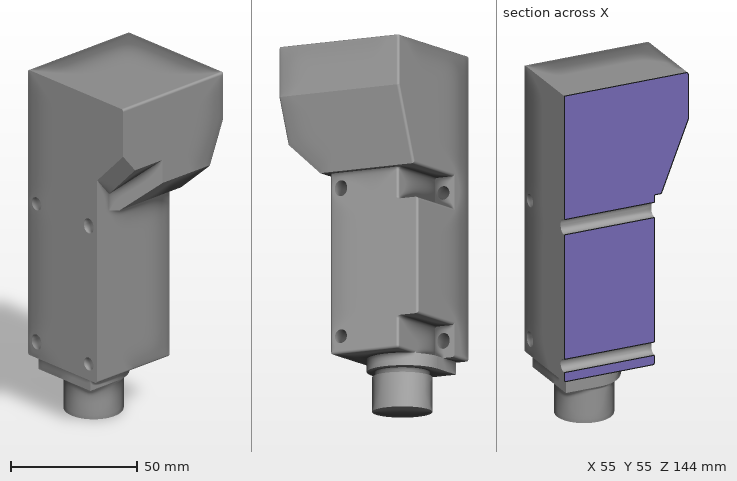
import cadquery as cq

import math

HEAD_SIZE = 55.0
TOTAL_HEIGHT = 144.0
EDGE_RADIUS = 1.0
TOLERANCE = 0.01

BODY_SIZE = 40.0
BODY_BOTTOM = 21.0

HEAD_BOTTOM = 93.9
HEAD_LIP = 3.0
SLOPE_TOP = 123.7

FRONT_UNDERSIDE = 123.7
MIDDLE_UNDERSIDE = 115.9
REAR_UNDERSIDE = 106.0
BEVEL_DEPTH = 6.5

RECESS_DEPTH = 9.0
FRONT_WALL = 11.1
UPPER_RECESS_BOTTOM = 81.0
LOWER_RECESS_TOP = 34.0

HOLE_DIAMETER = 5.5
SLOT_LENGTH = 6.3
LEFT_HOLE_X = 5.0
RIGHT_HOLE_X = 35.1
UPPER_HOLE_Z = 87.5
LOWER_HOLE_Z = 28.0

COLLAR_RADIUS = 15.0
COLLAR_FRONT = 1.0
COLLAR_BOTTOM = 16.0
COLLAR_X = 20.0
CONNECTOR_X = 21.0
CONNECTOR_Y = COLLAR_FRONT + COLLAR_RADIUS
NECK_RADIUS = 11.0
NECK_BOTTOM = 14.0
BARREL_RADIUS = 12.0


def box(x_range, y_range, z_range):
    """Box spanning the given (start, end) ranges."""
    ranges = (x_range, y_range, z_range)
    sizes = [end - start for start, end in ranges]
    corner = tuple(start for start, end in ranges)
    return cq.Workplane("XY").box(*sizes, centered=False).translate(corner)


def side_profile(width):
    """Body and head outline in the YZ plane, extruded along +X."""
    outline = [
        (0, BODY_BOTTOM),
        (BODY_SIZE, BODY_BOTTOM),
        (BODY_SIZE, HEAD_BOTTOM),
        (BODY_SIZE + HEAD_LIP, HEAD_BOTTOM),
        (HEAD_SIZE, SLOPE_TOP),
        (HEAD_SIZE, TOTAL_HEIGHT),
        (0, TOTAL_HEIGHT),
    ]
    return cq.Workplane("YZ").polyline(outline).close().extrude(width)


def overhang_prism(underside):
    """Part of the head beyond the body in +X, above a 45 degree underside."""
    rise = HEAD_SIZE - BODY_SIZE
    outline = [
        (BODY_SIZE, TOTAL_HEIGHT),
        (BODY_SIZE, underside - rise),
        (HEAD_SIZE, underside),
        (HEAD_SIZE, TOTAL_HEIGHT),
    ]
    return cq.Workplane("XZ").polyline(outline).close().extrude(-HEAD_SIZE)


def make_overhang():
    """Overhang with a bevelled front underside and a deeper rear behind a diagonal upright face."""
    bevel_leg = (FRONT_UNDERSIDE - MIDDLE_UNDERSIDE) / math.sqrt(2)
    front = overhang_prism(MIDDLE_UNDERSIDE)
    edge = front.faces("<Y").edges("|(1,0,1)")
    front = edge.chamfer(BEVEL_DEPTH, bevel_leg)

    reach = HEAD_SIZE - BODY_SIZE
    rear_outline = [
        (BODY_SIZE, BEVEL_DEPTH),
        (HEAD_SIZE, BEVEL_DEPTH + reach),
        (HEAD_SIZE, HEAD_SIZE),
        (BODY_SIZE, HEAD_SIZE),
    ]
    rear_column = (
        cq.Workplane("XY", origin=(0, 0, HEAD_BOTTOM))
        .polyline(rear_outline)
        .close()
        .extrude(TOTAL_HEIGHT - HEAD_BOTTOM)
    )
    rear = overhang_prism(REAR_UNDERSIDE).intersect(rear_column)
    return front.union(rear).intersect(side_profile(HEAD_SIZE))


def cut_recesses(solid):
    """Two recesses in the -X side: below the head and at the foot of the body."""
    for bottom, top in ((UPPER_RECESS_BOTTOM, HEAD_BOTTOM), (BODY_BOTTOM, LOWER_RECESS_TOP)):
        solid = solid.cut(box((0, RECESS_DEPTH), (FRONT_WALL, BODY_SIZE), (bottom, top)))
    return solid


def lies_at(value, *places):
    """True when the coordinate matches one of the places."""
    return any(abs(value - place) < TOLERANCE for place in places)


def is_rounded(edge):
    """True for the outer edges and recess roots that carry a radius; the front face stays sharp."""
    centre = edge.Center()
    along_x = edge.BoundingBox().xlen > TOLERANCE
    if lies_at(centre.y, 0, FRONT_WALL):
        return False
    if along_x:
        on_back = lies_at(centre.y, BODY_SIZE, HEAD_SIZE)
        return on_back and lies_at(centre.z, BODY_BOTTOM, TOTAL_HEIGHT)
    if lies_at(centre.x, 0, RECESS_DEPTH):
        return True
    if lies_at(centre.x, BODY_SIZE):
        return lies_at(centre.z, BODY_BOTTOM) or lies_at(centre.y, BODY_SIZE)
    on_slope = REAR_UNDERSIDE < centre.z and centre.y > BODY_SIZE
    return lies_at(centre.x, HEAD_SIZE) and (on_slope or lies_at(centre.z, TOTAL_HEIGHT))


def round_edges(solid):
    """Round the housing edges and the roots of the recesses."""
    edges = [edge for edge in solid.edges().vals() if is_rounded(edge)]
    return solid.newObject(edges).fillet(EDGE_RADIUS)


def collar_profile(bottom, height):
    """D-shaped collar, square towards -Y and round towards +Y."""
    left = COLLAR_X - COLLAR_RADIUS
    right = COLLAR_X + COLLAR_RADIUS
    return (
        cq.Workplane("XY", origin=(0, 0, bottom))
        .moveTo(left, COLLAR_FRONT)
        .lineTo(right, COLLAR_FRONT)
        .lineTo(right, CONNECTOR_Y)
        .threePointArc((COLLAR_X, CONNECTOR_Y + COLLAR_RADIUS), (left, CONNECTOR_Y))
        .close()
        .extrude(height)
    )


def make_connector():
    """Collar, neck and barrel below the body."""
    collar = collar_profile(COLLAR_BOTTOM, BODY_BOTTOM - COLLAR_BOTTOM)
    corner = box((RECESS_DEPTH, BODY_SIZE / 2), (FRONT_WALL, BODY_SIZE), (COLLAR_BOTTOM, LOWER_RECESS_TOP))
    corner_fill = collar_profile(BODY_BOTTOM, EDGE_RADIUS).intersect(corner)
    axis = cq.Workplane("XY").center(CONNECTOR_X, CONNECTOR_Y)
    barrel = axis.circle(BARREL_RADIUS).extrude(NECK_BOTTOM)
    neck = axis.circle(NECK_RADIUS).extrude(BODY_BOTTOM)
    return collar.union(corner_fill).union(neck).union(barrel)


def mounting_hole(x, z, length):
    """Cutter along Y for a round hole, or for an upright slot when longer than the hole diameter."""
    plane = cq.Workplane("XZ").center(x, z)
    if length > HOLE_DIAMETER:
        return plane.slot2D(length, HOLE_DIAMETER, 90).extrude(-HEAD_SIZE)
    return plane.circle(HOLE_DIAMETER / 2).extrude(-HEAD_SIZE)


housing = cut_recesses(side_profile(BODY_SIZE).union(make_overhang()))
result = round_edges(housing).union(make_connector())

for x, z, length in (
    (LEFT_HOLE_X, UPPER_HOLE_Z, HOLE_DIAMETER),
    (RIGHT_HOLE_X, UPPER_HOLE_Z, SLOT_LENGTH),
    (LEFT_HOLE_X, LOWER_HOLE_Z, SLOT_LENGTH),
    (RIGHT_HOLE_X, LOWER_HOLE_Z, HOLE_DIAMETER),
):
    result = result.cut(mounting_hole(x, z, length))